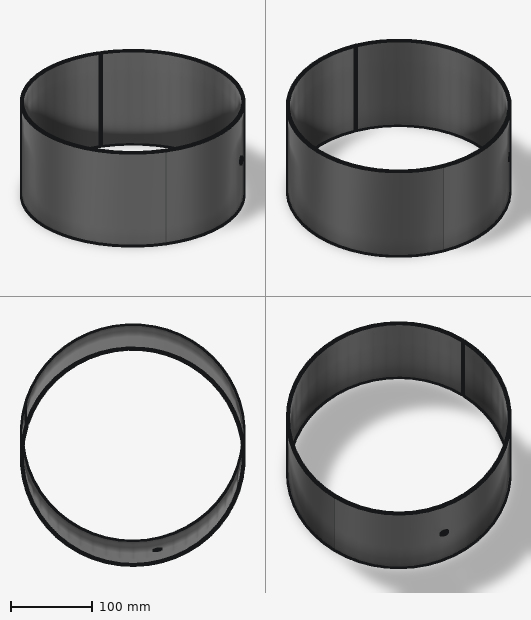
import cadquery as cq
import math

outer_diameter = 275.0
height = 130.0
wall = 2.5
outer_bevel_depth = 0.5
outer_bevel_height = 1.5
inner_bevel = 0.8
gap_width = 2.5
hole_diameter = 10.0
hole_angle = 59.0

outer_radius = outer_diameter / 2
middle_radius = outer_radius - wall / 2
cut_depth = 4 * wall


def make_band():
    """Full ring, bevelled on the inner and outer edges of both rims."""
    inner_radius = outer_radius - wall
    rim_inner_radius = inner_radius + inner_bevel
    rim_outer_radius = outer_radius - outer_bevel_depth
    profile = [
        (rim_inner_radius, 0),
        (rim_outer_radius, 0),
        (outer_radius, outer_bevel_height),
        (outer_radius, height - outer_bevel_height),
        (rim_outer_radius, height),
        (rim_inner_radius, height),
        (inner_radius, height - inner_bevel),
        (inner_radius, inner_bevel),
    ]
    return cq.Workplane("XZ").polyline(profile).close().revolve(360, (0, 0), (0, 1))


def make_gap():
    """Slot through the full height, with one face on the XZ plane."""
    return cq.Workplane("XY").box(cut_depth, gap_width, height).translate(
        (-middle_radius, gap_width / 2, height / 2)
    )


def make_hole():
    """Radial drill through the wall at mid height."""
    angle = math.radians(hole_angle)
    outward = cq.Vector(math.cos(angle), math.sin(angle), 0)
    start = outward * (middle_radius - cut_depth / 2) + cq.Vector(0, 0, height / 2)
    return cq.Workplane(cq.Solid.makeCylinder(hole_diameter / 2, cut_depth, start, outward))


result = make_band().cut(make_gap()).cut(make_hole())